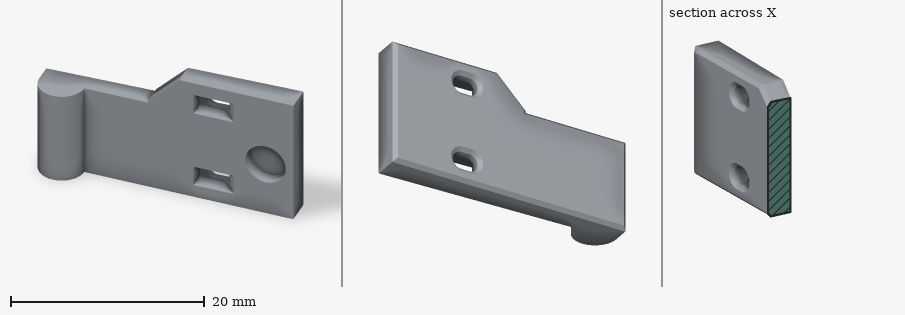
import cadquery as cq
import math

barrel_radius = 2.5
part_tilt = 1.0

plate_length = 25.76
thickness_at_barrel = 2.43
back_taper = 1.8
low_height = 10.5
full_height = 14.23
step_x = 9.6
step_rise = 0.25
back_chamfer = 0.42

opening_x = 16.91
opening_pitch = 9.0
pocket_length = 4.5
pocket_height = 2.3
pocket_depth = 1.75
slot_length = 3.0
slot_height = 2.0

recess_diameter = 4.5
recess_depth = 1.5
recess_x = 22.67
recess_z = 6.1

through = 3 * barrel_radius


def back_y(x):
    """Y of the untrimmed back face at a given X."""
    return thickness_at_barrel + x * math.tan(math.radians(back_taper))


def make_body():
    """Tapered plate and barrel, trimmed to the stepped side outline."""
    profile = (
        cq.Workplane("XY")
        .moveTo(-barrel_radius, 0)
        .threePointArc((0, -barrel_radius), (barrel_radius, 0))
        .lineTo(plate_length, 0)
        .lineTo(plate_length, back_y(plate_length))
        .lineTo(-barrel_radius, back_y(-barrel_radius))
        .close()
        .extrude(full_height)
    )
    slope_base = low_height + step_rise
    slope_end_x = step_x + full_height - slope_base
    outline = (
        cq.Workplane("XZ")
        .moveTo(-barrel_radius, 0)
        .lineTo(plate_length, 0)
        .lineTo(plate_length, full_height)
        .lineTo(slope_end_x, full_height)
        .lineTo(step_x, slope_base)
        .lineTo(step_x, low_height)
        .lineTo(-barrel_radius, low_height)
        .close()
        .extrude(through, both=True)
    )
    return profile.intersect(outline)


def make_opening(z):
    """Pocket with a 45 degree ramp at its +X end, and the slot behind it."""
    half_length = pocket_length / 2
    pocket = (
        cq.Workplane("XY", origin=(opening_x, 0, z - pocket_height / 2))
        .moveTo(-half_length, 0)
        .lineTo(half_length, 0)
        .lineTo(half_length - pocket_depth, pocket_depth)
        .lineTo(-half_length, pocket_depth)
        .close()
        .extrude(pocket_height)
    )
    slot = (
        cq.Workplane("XZ", origin=(opening_x, 0, z))
        .slot2D(slot_length, slot_height)
        .extrude(-through)
    )
    return pocket.union(slot)


def make_recess():
    """Blind cylinder sunk square into the front face."""
    return (
        cq.Workplane("XZ", origin=(recess_x, 0, recess_z))
        .circle(recess_diameter / 2)
        .extrude(-recess_depth)
    )


body = make_body()
for side in (-1, 1):
    opening_z = full_height / 2 + side * opening_pitch / 2
    body = body.cut(make_opening(opening_z))

body = body.faces(">Y").edges().chamfer(back_chamfer)
body = body.cut(make_recess())

result = body.rotate((0, 0, 0), (0, 0, 1), part_tilt)